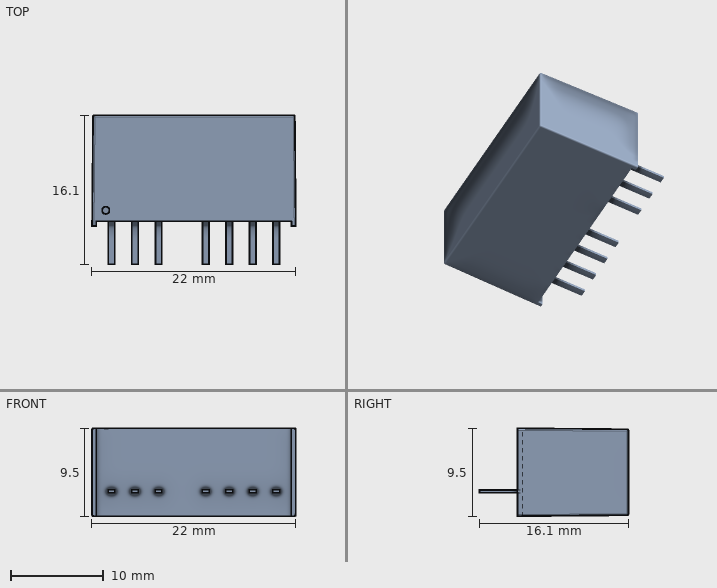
import cadquery as cq

case_width = 22.0
case_height = 9.5
case_depth = 12.0
draft_angle = 0.5
edge_radius = 0.2

foot_width = 0.48
channel_depth = 0.53

pin_row_span = 17.78
pin_positions = (-3.5, -2.5, -1.5, 0.5, 1.5, 2.5, 3.5)
pin_pitch = pin_row_span / (pin_positions[-1] - pin_positions[0])
pin_width = 0.73
pin_thickness = 0.3
pin_center_z = -2.07
pin_overhang = 4.11
pin_embed = 0.45

mark_diameter = 0.8
mark_inset_x = 1.5
mark_inset_y = 1.72
mark_depth = 0.07


def make_case():
    """Drafted case standing back (+Y) from the foot ends at Y = 0."""
    case = (
        cq.Workplane("XZ")
        .rect(case_width, case_height)
        .extrude(-case_depth, taper=draft_angle)
    )
    return case.edges("not <Y").fillet(edge_radius)


def make_channel():
    """Full-height cutter that recesses the pin face between the feet."""
    return cq.Workplane("XY").box(
        case_width - 2 * foot_width, channel_depth, case_height, centered=(True, False, True)
    )


def make_pin(position):
    """One flat pin, rooted inside the case behind the recessed face."""
    root_y = channel_depth + pin_embed
    return (
        cq.Workplane("XY")
        .box(pin_width, root_y + pin_overhang, pin_thickness, centered=(True, False, True))
        .translate((position * pin_pitch, -pin_overhang, pin_center_z))
    )


def make_mark():
    """Cutter for the shallow pin-one mark."""
    return (
        cq.Workplane("XY", origin=(0, 0, case_height / 2 - mark_depth))
        .center(mark_inset_x - case_width / 2, mark_inset_y)
        .circle(mark_diameter / 2)
        .extrude(mark_depth)
    )


result = make_case().cut(make_channel()).cut(make_mark())
for position in pin_positions:
    result = result.union(make_pin(position))